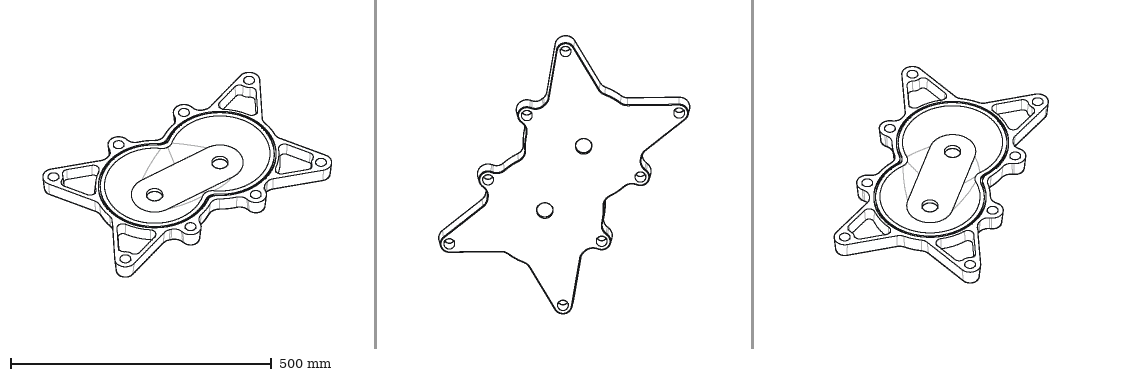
import cadquery as cq
import math

height = 35.0
draft = 5.0
bottom_chamfer = 1.5
inner_radius = 19.0

lobe_y = 75.0
body_radius = 116.0

ear_x = 125.5
tip_y = 224.5
tip_radius = 20.5
arm_root_radius = 86.0
ear_root_radius = 44.0
bolt_hole_radius = 10.5

bowl_rim_radius = 96.0
bowl_floor_radius = 44.5
bowl_floor = 9.0
drain_hole_radius = 15.5

pocket_wall = 8.5
pocket_ring_radius = 113.5
pocket_corner_radius = 11.5
pocket_boss_radius = 18.0
pocket_floor = bowl_floor

groove_inner_radius = 104.5
groove_outer_radius = 108.0
groove_depth = 3.5

signs = (-1, 1)
lobe_centres = [(0, y * lobe_y) for y in signs]
ears = [(x * ear_x, y * lobe_y) for x in signs for y in signs]
tips = [(x * ear_x, y * tip_y) for x in signs for y in signs]


def disc(centre, radius, depth=height):
    return cq.Workplane("XY").center(*centre).circle(radius).extrude(depth)


def arm(tip, end_radius, root_radius):
    """Plate bounded by the outer tangents of a tip circle and a circle on the nearest lobe."""
    x, y = tip
    root_y = math.copysign(lobe_y, y)
    length = math.hypot(x, y - root_y)
    direction = math.atan2(y - root_y, x)
    half_turn = math.acos((root_radius - end_radius) / length)

    def on_circle(centre, radius, angle):
        return (
            centre[0] + radius * math.cos(direction + angle),
            centre[1] + radius * math.sin(direction + angle),
        )

    root = (0, root_y)
    return (
        cq.Workplane("XY")
        .moveTo(*on_circle(root, root_radius, -half_turn))
        .lineTo(*on_circle(tip, end_radius, -half_turn))
        .threePointArc(on_circle(tip, end_radius, 0), on_circle(tip, end_radius, half_turn))
        .lineTo(*on_circle(root, root_radius, half_turn))
        .threePointArc(on_circle(root, root_radius, math.pi), on_circle(root, root_radius, -half_turn))
        .close()
        .extrude(height)
    )


def outline_of(plate):
    return plate.clean().faces("<Z").wires().val()


def soften(outline, first_offset):
    """Round corners by offsetting the outline and back: inside ones if positive, else outside ones."""
    return outline.offset2D(first_offset)[0].offset2D(-first_offset)[0]


def two_lobes(radius):
    return disc(lobe_centres[0], radius).union(disc(lobe_centres[1], radius))


def figure_eight(radius, depth):
    """Both lobes joined by a rounded waist, reaching down from the top face."""
    outline = soften(outline_of(two_lobes(radius)), inner_radius)
    return cq.Workplane(outline).toPending().extrude(depth).translate((0, 0, height - depth))


def body():
    plate = two_lobes(body_radius)
    for ear in ears:
        plate = plate.union(arm(ear, tip_radius, ear_root_radius))
    for tip in tips:
        plate = plate.union(arm(tip, tip_radius, arm_root_radius))
    outline = soften(outline_of(plate), inner_radius)
    drafted = cq.Workplane(outline).toPending().extrude(height, taper=draft)
    flipped = drafted.rotate((0, 0, 0), (1, 0, 0), 180).translate((0, 0, height))
    return flipped.faces("<Z").chamfer(bottom_chamfer)


def pocket(tip):
    blank = arm(tip, tip_radius - pocket_wall, arm_root_radius - pocket_wall)
    blank = blank.cut(disc(tip, pocket_boss_radius))
    blank = blank.cut(disc((0, math.copysign(lobe_y, tip[1])), pocket_ring_radius))
    outline = soften(outline_of(blank), -pocket_corner_radius)
    depth = height - pocket_floor
    drafted = cq.Workplane(outline).toPending().extrude(depth, taper=draft)
    return drafted.mirror("XY").translate((0, 0, height))


def groove():
    outer = figure_eight(groove_outer_radius, groove_depth)
    return outer.cut(figure_eight(groove_inner_radius, groove_depth))


def bowl_section(z, radius, waist, shoulder_angle):
    """Two lobe arcs joined on each side by a waist made of two equal curves meeting at Y = 0.

    The shoulder angle is measured at the lobe centre, from X towards the waist.
    """
    x = radius * math.cos(shoulder_angle)
    y = lobe_y - radius * math.sin(shoulder_angle)
    end = lobe_y + radius
    section = cq.Workplane("XY", origin=(0, 0, z)).moveTo(x, y)
    for side in signs:
        section = section.threePointArc((0, -side * end), (side * x, -side * y))
        if x == waist:
            section = section.lineTo(side * x, 0).lineTo(side * x, side * y)
            continue
        waist_radius = ((x - waist) ** 2 + y**2) / (2 * (x - waist))
        half_bend = math.asin(y / waist_radius) / 2
        bend_x = side * (waist + waist_radius * (1 - math.cos(half_bend)))
        bend_y = side * waist_radius * math.sin(half_bend)
        section = section.threePointArc((bend_x, -bend_y), (side * waist, 0))
        section = section.threePointArc((bend_x, bend_y), (side * x, side * y))
    return section.wire().val()


def bowl():
    rim_reach = bowl_rim_radius + inner_radius
    rim_angle = math.asin(lobe_y / rim_reach)
    rim_waist = rim_reach * math.cos(rim_angle) - inner_radius
    chord_x = (bowl_floor_radius + bowl_rim_radius * math.cos(rim_angle)) / 2
    chord_drop = bowl_rim_radius * math.sin(rim_angle) / 2
    middle_angle = math.atan2(chord_drop, chord_x)
    middle_height = (bowl_floor + height) / 2
    middle_radius = (bowl_floor_radius + bowl_rim_radius) / 2
    middle_waist = (bowl_floor_radius + rim_waist) / 2
    sections = [
        bowl_section(bowl_floor, bowl_floor_radius, bowl_floor_radius, 0),
        bowl_section(middle_height, middle_radius, middle_waist, middle_angle),
        bowl_section(height, bowl_rim_radius, rim_waist, rim_angle),
    ]
    return cq.Workplane(cq.Solid.makeLoft(sections))


result = body().cut(groove()).cut(bowl())
for tip in tips:
    result = result.cut(pocket(tip))
for centre in ears + tips:
    result = result.cut(disc(centre, bolt_hole_radius))
for centre in lobe_centres:
    result = result.cut(disc(centre, drain_hole_radius))